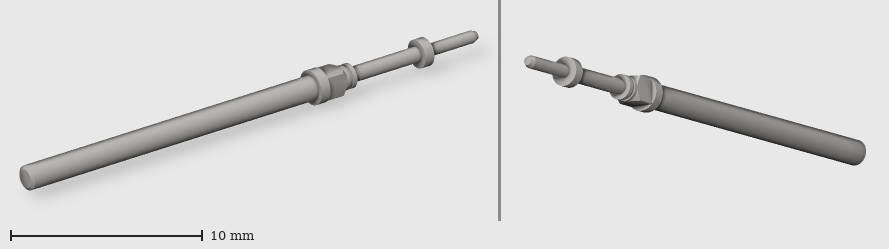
import cadquery as cq


total_length = 29.2
collar_diameter = 1.9

barrel_diameter = 1.36
barrel_length = 18.5
barrel_end_chamfer_length = 0.13
barrel_end_diameter = 1.0

collar_length = 0.58

square_width = 1.36
square_corner_diameter = 1.86
square_length = 1.05
square_lead_in_length = 0.25

rear_ring_length = 0.2
ring_groove_length = 0.2
ring_groove_diameter = 1.2
front_ring_length = 0.24
ring_diameter = barrel_diameter

neck_length = 0.4
neck_diameter = 0.78

shaft_diameter = 0.85
flange_diameter = 1.56
flange_length = 0.58
flange_to_tip = 3.27
tip_pin_diameter = 0.68
tip_length = 0.28
tip_end_diameter = 0.44

collar_end = barrel_length + collar_length
square_end = collar_end + square_length
rear_ring_start = square_end + square_lead_in_length
rear_ring_end = rear_ring_start + rear_ring_length
front_ring_start = rear_ring_end + ring_groove_length
front_ring_end = front_ring_start + front_ring_length
shaft_start = front_ring_end + neck_length
flange_end = total_length - flange_to_tip
flange_start = flange_end - flange_length


def frustum(start, end, start_diameter, end_diameter):
    """Solid of revolution about Y whose diameter varies evenly from start to end."""
    profile = [(0, start), (start_diameter / 2, start), (end_diameter / 2, end), (0, end)]
    return cq.Workplane("XY").polyline(profile).close().revolve(360, (0, 0, 0), (0, 1, 0))


def cylinder(start, end, diameter):
    """Round section about Y."""
    return frustum(start, end, diameter, diameter)


def make_barrel():
    chamfer = frustum(0, barrel_end_chamfer_length, barrel_end_diameter, barrel_diameter)
    body = cylinder(barrel_end_chamfer_length, barrel_length, barrel_diameter)
    return chamfer.union(body).union(cylinder(barrel_length, collar_end, collar_diameter))


def make_square():
    """Square bar whose corners are turned down and tapered toward the rings."""
    length = rear_ring_start - collar_end
    middle = (collar_end + rear_ring_start) / 2
    bar = cq.Workplane("XY").box(square_width, length, square_width).translate((0, middle, 0))
    turned = cylinder(collar_end, square_end, square_corner_diameter)
    taper = frustum(square_end, rear_ring_start, square_corner_diameter, ring_diameter)
    return bar.intersect(turned.union(taper))


def make_rings():
    rear_ring = cylinder(rear_ring_start, rear_ring_end, ring_diameter)
    groove = cylinder(rear_ring_end, front_ring_start, ring_groove_diameter)
    front_ring = cylinder(front_ring_start, front_ring_end, ring_diameter)
    return rear_ring.union(groove).union(front_ring)


def make_neck():
    """Neck slightly thinner than the shaft."""
    return cylinder(front_ring_end, shaft_start, neck_diameter)


def make_plunger():
    tip_start = total_length - tip_length
    shaft = cylinder(shaft_start, flange_start, shaft_diameter)
    flange = cylinder(flange_start, flange_end, flange_diameter)
    pin = cylinder(flange_end, tip_start, tip_pin_diameter)
    tip = frustum(tip_start, total_length, tip_pin_diameter, tip_end_diameter)
    return shaft.union(flange).union(pin).union(tip)


result = (
    make_barrel()
    .union(make_square())
    .union(make_rings())
    .union(make_neck())
    .union(make_plunger())
)